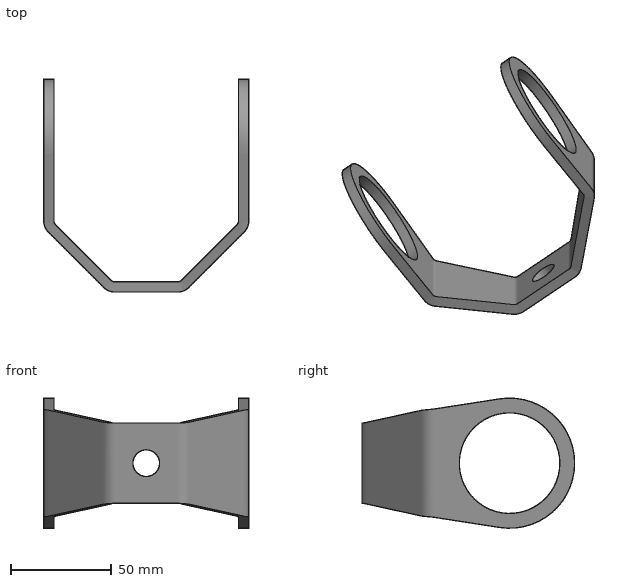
import cadquery as cq
import math

width = 102.3
length = 106.1
thickness = 5.2
bend_radius = 8.0
bend_angle = math.radians(45)
flat_half_width = 15.6
mount_hole_diameter = 13.2

ring_radius = 32.5
ring_bore_diameter = 50.0

plate_half_height = 20.1
panel_front_half_height = 20.4
panel_rear_half_height = 26.4

half_width = width / 2
inner_radius = bend_radius - thickness
front_y = 0.0
ring_y = front_y + length - ring_radius

front_bend = (flat_half_width, front_y + bend_radius)
rear_bend_x = half_width - bend_radius
rear_bend = (rear_bend_x, front_bend[1] + (rear_bend_x - front_bend[0]) * math.tan(bend_angle))
panel_length = math.dist(front_bend, rear_bend)

leg_start_y = rear_bend[1]
leg_slope = math.radians(8.8)
tangent_y = ring_y - ring_radius * math.sin(leg_slope)
tangent_z = ring_radius * math.cos(leg_slope)
leg_half_height = tangent_z - (tangent_y - leg_start_y) * math.tan(leg_slope)


def radial_point(axis, radius, angle):
    """Point in the XY plane at a radius and angle about a bend axis."""
    return (axis[0] + radius * math.cos(angle), axis[1] + radius * math.sin(angle))


def bend(axis, start_angle, end_angle, start_half_height, end_half_height):
    """Curved stretch of strip whose half height changes between its two ends."""
    middle_angle = (start_angle + end_angle) / 2
    sector = (
        cq.Workplane("XY")
        .moveTo(*radial_point(axis, inner_radius, start_angle))
        .lineTo(*radial_point(axis, bend_radius, start_angle))
        .threePointArc(
            radial_point(axis, bend_radius, middle_angle),
            radial_point(axis, bend_radius, end_angle),
        )
        .lineTo(*radial_point(axis, inner_radius, end_angle))
        .threePointArc(
            radial_point(axis, inner_radius, middle_angle),
            radial_point(axis, inner_radius, start_angle),
        )
        .close()
        .extrude(ring_radius, both=True)
    )
    wedge_inner = inner_radius / 2
    wedge_outer = bend_radius * 1.5
    ends = []
    for angle, half_height in ((start_angle, start_half_height), (end_angle, end_half_height)):
        inner = radial_point(axis, wedge_inner, angle)
        outer = radial_point(axis, wedge_outer, angle)
        corners = [
            cq.Vector(*inner, -half_height),
            cq.Vector(*outer, -half_height),
            cq.Vector(*outer, half_height),
            cq.Vector(*inner, half_height),
        ]
        ends.append(cq.Wire.makePolygon(corners, close=True))
    return sector.intersect(cq.Workplane(cq.Solid.makeLoft(ends, True)))


def front_plate():
    """Flat front plate with its central mounting hole."""
    plate = (
        cq.Workplane("XY")
        .box(2 * flat_half_width, thickness, 2 * plate_half_height)
        .translate((0, front_y + thickness / 2, 0))
    )
    hole = cq.Workplane("XZ").circle(mount_hole_diameter / 2).extrude(2 * thickness, both=True)
    return plate.cut(hole)


def sloping_panel():
    """Tapered panel joining the front bend to the rear bend."""
    outer_angle = bend_angle - math.pi / 2
    origin = radial_point(front_bend, inner_radius, outer_angle)
    plane = cq.Plane(
        origin=(*origin, 0),
        xDir=(math.cos(bend_angle), math.sin(bend_angle), 0),
        normal=(math.cos(outer_angle), math.sin(outer_angle), 0),
    )
    return (
        cq.Workplane(plane)
        .polyline([
            (0, -panel_front_half_height),
            (panel_length, -panel_rear_half_height),
            (panel_length, panel_rear_half_height),
            (0, panel_front_half_height),
        ])
        .close()
        .extrude(thickness)
    )


def leg():
    """Leg with tangent edges running into a bored ring."""
    return (
        cq.Workplane("YZ", origin=(half_width - thickness, 0, 0))
        .moveTo(leg_start_y, -leg_half_height)
        .lineTo(tangent_y, -tangent_z)
        .threePointArc((ring_y + ring_radius, 0), (tangent_y, tangent_z))
        .lineTo(leg_start_y, leg_half_height)
        .close()
        .moveTo(ring_y, 0)
        .circle(ring_bore_diameter / 2)
        .extrude(thickness)
    )


plate_angle = -math.pi / 2
panel_angle = plate_angle + bend_angle
taper_angle = plate_angle + bend_angle / 2
side = (
    leg()
    .union(bend(rear_bend, panel_angle, 0, panel_rear_half_height, leg_half_height))
    .union(sloping_panel())
    .union(bend(front_bend, taper_angle, panel_angle, plate_half_height, panel_front_half_height))
    .union(bend(front_bend, plate_angle, taper_angle, plate_half_height, plate_half_height))
)

result = front_plate().union(side).union(side.mirror("YZ"))